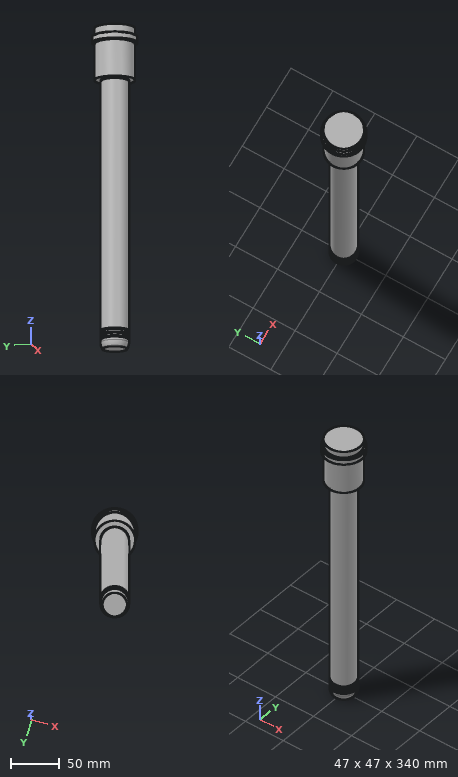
import cadquery as cq
import math

total_length = 340.0
shaft_radius = 30.0 / 2
head_radius = 42.0 / 2
collar_radius = 47.0 / 2

head_length = 55.0
collar_thickness = 6.0
cap_height = 9.2
head_bottom = total_length - head_length
collar_top = total_length - cap_height
collar_bottom = collar_top - collar_thickness

tip_bevel_height = 1.0
tip_bevel_inset = 0.7

tip_height = 6.8
tip_inset = 1.7
tip_arc_height = tip_height - tip_bevel_height
tip_arc_radius = (tip_arc_height**2 + tip_inset**2) / (2 * tip_inset)

groove_count = 3
groove_pitch = 4.0
groove_width = 1.5
groove_depth = 0.5
first_groove_bottom = 10.0

relief_width = 1.0
relief_depth = 0.5


def cylinder(radius, bottom, top):
    """Solid cylinder on the Z axis between two heights."""
    return cq.Workplane("XY").workplane(offset=bottom).circle(radius).extrude(top - bottom)


def make_shaft():
    """Shaft with a bevelled, rounded tip, revolved from its half profile."""
    arc_mid_height = tip_arc_height / 2
    arc_centre = shaft_radius - tip_arc_radius
    arc_mid_radius = arc_centre + math.sqrt(tip_arc_radius**2 - arc_mid_height**2)
    return (
        cq.Workplane("XZ")
        .lineTo(shaft_radius - tip_inset - tip_bevel_inset, 0)
        .lineTo(shaft_radius - tip_inset, tip_bevel_height)
        .threePointArc((arc_mid_radius, tip_height - arc_mid_height), (shaft_radius, tip_height))
        .lineTo(shaft_radius, head_bottom)
        .lineTo(0, head_bottom)
        .close()
        .revolve(360, (0, 0), (0, 1))
    )


def cut_groove(body, wall_radius, depth, bottom, top):
    """Cut a square ring groove into a round wall of the body."""
    ring = cylinder(collar_radius, bottom, top).cut(cylinder(wall_radius - depth, bottom, top))
    return body.cut(ring)


shaft = make_shaft()
for index in range(groove_count):
    bottom = first_groove_bottom + index * groove_pitch
    shaft = cut_groove(shaft, shaft_radius, groove_depth, bottom, bottom + groove_width)
shaft = cut_groove(shaft, shaft_radius, relief_depth, head_bottom - relief_width, head_bottom)

head = cylinder(head_radius, head_bottom, total_length)
head = cut_groove(
    head, head_radius, relief_depth, collar_bottom - relief_width, collar_top + relief_width
)
collar = cylinder(collar_radius, collar_bottom, collar_top)

result = shaft.union(head).union(collar)